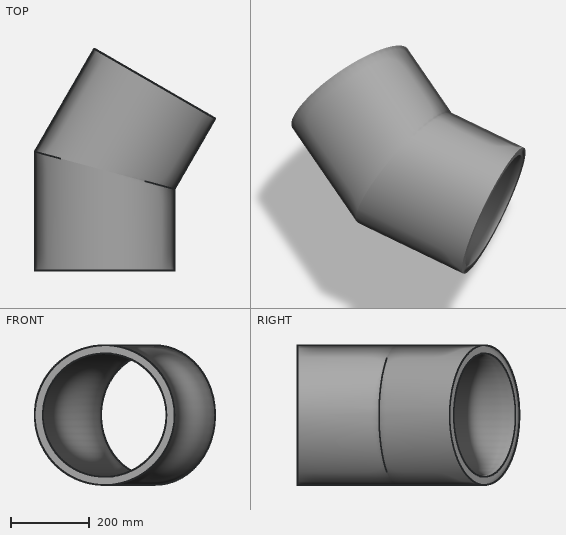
import cadquery as cq
import math

overall_length = 564.0
outer_diameter = 355.0
wall = 21.0
bend_angle = math.radians(30)

outer_radius = outer_diameter / 2
inner_radius = outer_radius - wall

leg_length = (overall_length - outer_radius * math.sin(bend_angle)) / (1 + math.cos(bend_angle))

miter_angle = bend_angle / 2
miter_center = (0, leg_length, 0)
miter_normal = cq.Vector(math.sin(miter_angle), math.cos(miter_angle), 0)
miter_plane = cq.Plane(origin=miter_center, xDir=(0, 0, 1), normal=miter_normal)


def mitred_leg():
    """Straight tube from the origin along +Y, cut off at the mitre plane."""
    uncut_length = leg_length + outer_diameter
    cutter_side = 3 * outer_diameter
    tube = cq.Workplane("XZ").circle(outer_radius).circle(inner_radius).extrude(-uncut_length)
    beyond_miter = cq.Workplane(miter_plane).rect(cutter_side, cutter_side).extrude(uncut_length)
    return tube.cut(beyond_miter)


first_leg = mitred_leg()
second_leg = first_leg.mirror(miter_normal, miter_center)

result = first_leg.union(second_leg)